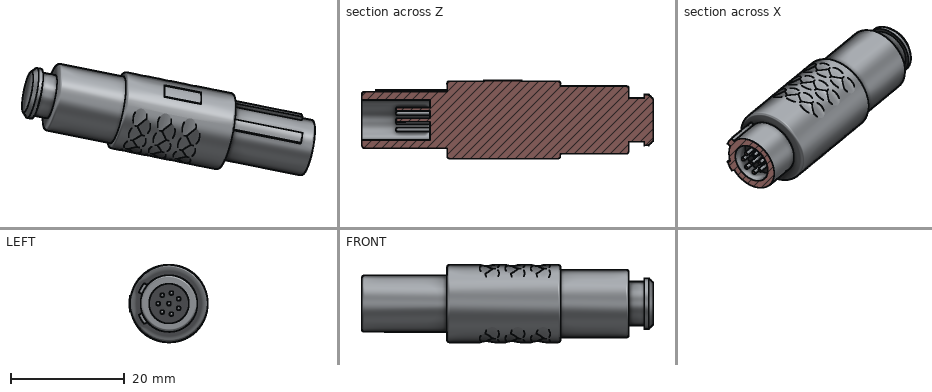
import cadquery as cq
import math

BODY_START = 15.0
BODY_END = 35.0
BACK_NUT_END = 47.0
COLLAR_START = 49.7
TOTAL_LENGTH = 51.3

PLUG_RADIUS = 5.0
BODY_RADIUS = 6.85
BACK_NUT_RADIUS = 6.0
NECK_RADIUS = 3.9
COLLAR_RADIUS = 4.5
EDGE_FILLET = 0.5
COLLAR_CHAMFER = 0.8

BORE_RADIUS = 3.5
BORE_DEPTH = 12.0
PIN_RADIUS = 0.35
PIN_LENGTH = 6.0
PIN_CIRCLE_RADIUS = 1.9
OUTER_PIN_COUNT = 7

KEY_START = 2.5
KEY_TOP_RADIUS = 5.65
KEY_WIDTH = 1.85
KEY_ANGLE = 30.0

DIMPLE_DEPTH = 0.21
DIMPLE_TOOL_RADIUS = 3.6
DIMPLE_TOOL_LENGTH = 6.0
DIMPLE_ANGLE_STEP = 360 / 14
DIMPLE_GROUP_COUNT = 3
DIMPLE_GROUP_PITCH = 4.5
DIMPLE_FIRST_ROW_X = 21.95
DIMPLE_ROW_SPACING = 1.0
FIRST_ROW_DIMPLES = 3
SECOND_ROW_DIMPLES = 4

PANEL_START = 21.5
PANEL_END = 28.2
PANEL_WIDTH = 2.8
PANEL_HEIGHT = 0.15
PANEL_EMBED = 0.5


def cylinder_x(start, end, radius):
    """Cylinder about the X axis between two stations."""
    return cq.Workplane("YZ", origin=(start, 0, 0)).circle(radius).extrude(end - start)


def turned_sections():
    """Plug, body, back nut, neck and collar with their edge treatments."""
    plug = cylinder_x(0, BODY_START, PLUG_RADIUS).faces("<X").edges().fillet(EDGE_FILLET)
    body = cylinder_x(BODY_START, BODY_END, BODY_RADIUS).faces("<X or >X").edges().fillet(EDGE_FILLET)
    back_nut = cylinder_x(BODY_END, BACK_NUT_END, BACK_NUT_RADIUS).faces(">X").edges().fillet(EDGE_FILLET)
    neck = cylinder_x(BACK_NUT_END, COLLAR_START, NECK_RADIUS)
    collar = cylinder_x(COLLAR_START, TOTAL_LENGTH, COLLAR_RADIUS)
    collar = collar.faces(">X").edges().chamfer(COLLAR_CHAMFER)
    return plug.union(body).union(back_nut).union(neck).union(collar)


def alignment_key(angle):
    """Key along the plug: a radial bar with its top rounded about the plug axis."""
    root = (BORE_RADIUS + PLUG_RADIUS) / 2
    length = BODY_START - KEY_START
    bar = cq.Workplane("XY").box(length, KEY_TOP_RADIUS - root, KEY_WIDTH, centered=(False, False, True))
    bar = bar.translate((KEY_START, root, 0))
    bar = bar.intersect(cylinder_x(KEY_START, BODY_START, KEY_TOP_RADIUS))
    return bar.rotate((0, 0, 0), (1, 0, 0), angle)


def raised_panel():
    """Panel following the curve of the body, standing slightly proud of it."""
    root = BODY_RADIUS - PANEL_EMBED
    top = BODY_RADIUS + PANEL_HEIGHT
    length = PANEL_END - PANEL_START
    block = cq.Workplane("XY").box(length, top - root, PANEL_WIDTH, centered=(False, False, True))
    block = block.translate((PANEL_START, root, 0))
    return block.intersect(cylinder_x(PANEL_START, PANEL_END, top))


def contact_pin(y, z):
    """Pin standing on the bore floor with a hemispherical tip towards the mouth."""
    tip_centre = BORE_DEPTH - PIN_LENGTH + PIN_RADIUS
    shank = cylinder_x(tip_centre, BORE_DEPTH, PIN_RADIUS)
    tip = cq.Workplane("XY").sphere(PIN_RADIUS).translate((tip_centre, 0, 0))
    return shank.union(tip).translate((0, y, z))


def contact_pins():
    """One central pin and a ring of pins starting on the +Y side."""
    pins = [contact_pin(0, 0)]
    for index in range(OUTER_PIN_COUNT):
        angle = 2 * math.pi * index / OUTER_PIN_COUNT
        pins.append(contact_pin(PIN_CIRCLE_RADIUS * math.cos(angle), PIN_CIRCLE_RADIUS * math.sin(angle)))
    return pins


def dimple_cutter(x, angle):
    """Cylinder lying tangentially across the body, dipping below its surface by the dimple depth."""
    height = BODY_RADIUS - DIMPLE_DEPTH + DIMPLE_TOOL_RADIUS
    tool = cq.Workplane("XZ").circle(DIMPLE_TOOL_RADIUS).extrude(DIMPLE_TOOL_LENGTH / 2, both=True)
    return tool.translate((x, 0, height)).rotate((0, 0, 0), (1, 0, 0), angle)


def dimple_row(x, count, side_angle):
    """Cutters for one row of dimples, centred around the given side of the body."""
    middle = (count - 1) / 2
    return [dimple_cutter(x, side_angle + (index - middle) * DIMPLE_ANGLE_STEP) for index in range(count)]


def dimple_cutters():
    """Cutters for every group of two staggered rows, on the top and on the bottom."""
    cutters = []
    for side_angle in (0, 180):
        for group in range(DIMPLE_GROUP_COUNT):
            first_x = DIMPLE_FIRST_ROW_X + group * DIMPLE_GROUP_PITCH
            cutters += dimple_row(first_x, FIRST_ROW_DIMPLES, side_angle)
            cutters += dimple_row(first_x + DIMPLE_ROW_SPACING, SECOND_ROW_DIMPLES, side_angle)
    return cutters


result = turned_sections()
for cutter in dimple_cutters():
    result = result.cut(cutter)
result = result.union(raised_panel())
for key_angle in (KEY_ANGLE, -KEY_ANGLE):
    result = result.union(alignment_key(key_angle))
result = result.cut(cylinder_x(0, BORE_DEPTH, BORE_RADIUS))
for pin in contact_pins():
    result = result.union(pin)